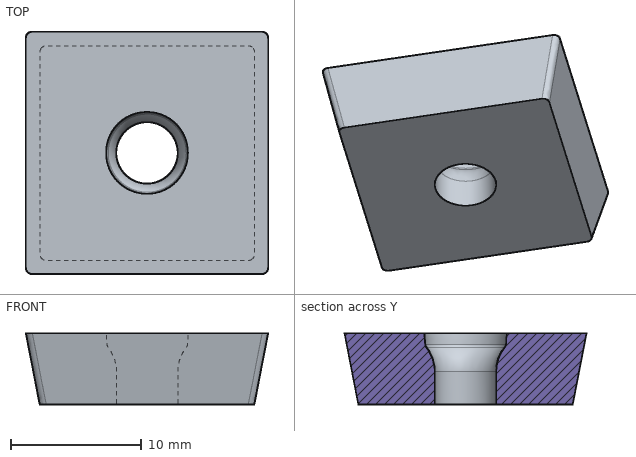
import cadquery as cq
import math

top_width = 18.6
thickness = 5.5
clearance_angle = 11.0
corner_radius = 0.5

bore_radius = 4.7 / 2
bore_depth = 2.92
seat_arc_radius = 2.9
seat_slope = 39.0
blend_radius = 0.4
mouth_slope = 4.0


def make_body():
    """Tapered square block with rounded corner edges."""
    bottom_width = top_width - 2 * thickness * math.tan(math.radians(clearance_angle))
    block = (
        cq.Workplane("XY")
        .rect(bottom_width, bottom_width)
        .workplane(offset=thickness)
        .rect(top_width, top_width)
        .loft(ruled=True)
    )
    slanted_edges = block.edges("not(#Z)")
    return slanted_edges.fillet(corner_radius)


def arc_point(center, radius, slope):
    """Point (r, z) at the given angle above the outward direction from an arc centre."""
    angle = math.radians(slope)
    return (center[0] + radius * math.cos(angle), center[1] + radius * math.sin(angle))


def make_screw_hole():
    """Solid of revolution: through bore, convex screw seat, concave blend and tapered mouth."""
    bore_z = thickness - bore_depth

    seat_center = (bore_radius + seat_arc_radius, bore_z)
    seat_middle = arc_point(seat_center, -seat_arc_radius, -seat_slope / 2)
    seat_end = arc_point(seat_center, -seat_arc_radius, -seat_slope)

    blend_center = (
        seat_end[0] - blend_radius * math.cos(math.radians(seat_slope)),
        seat_end[1] + blend_radius * math.sin(math.radians(seat_slope)),
    )
    blend_middle = arc_point(blend_center, blend_radius, -(seat_slope + mouth_slope) / 2)
    blend_end = arc_point(blend_center, blend_radius, -mouth_slope)

    mouth_height = thickness - blend_end[1]
    mouth_radius = blend_end[0] + mouth_height * math.tan(math.radians(mouth_slope))

    return (
        cq.Workplane("XZ")
        .moveTo(0, 0)
        .lineTo(bore_radius, 0)
        .lineTo(bore_radius, bore_z)
        .threePointArc(seat_middle, seat_end)
        .threePointArc(blend_middle, blend_end)
        .lineTo(mouth_radius, thickness)
        .lineTo(0, thickness)
        .close()
        .revolve(360, (0, 0, 0), (0, 1, 0))
    )


result = make_body().cut(make_screw_hole())